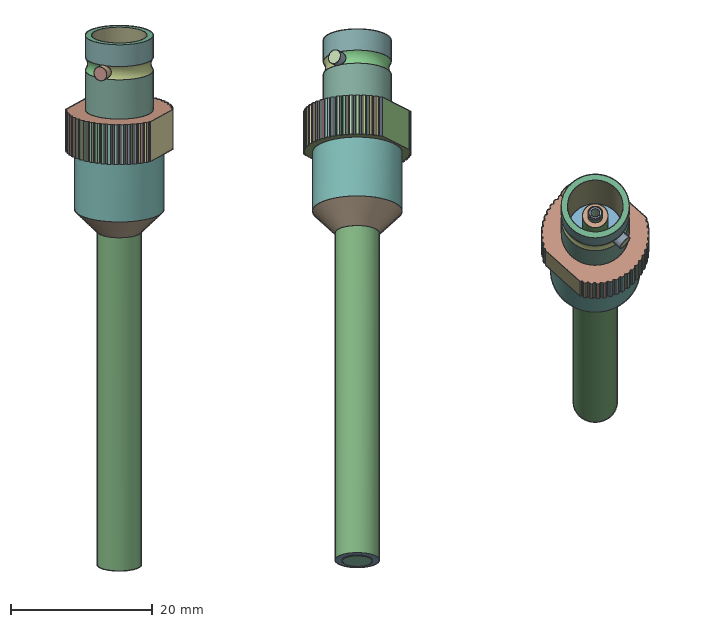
import cadquery as cq
import math

total_height = 78.15
core_protrusion = 0.15
cone_bottom = 49.25
cone_top = 52.5
ring_bottom = 61.35

core_diameter = 4.3
cable_diameter = 6.25
sleeve_diameter = 12.7
barrel_diameter = 9.6

lip_height = 3.2
groove_width = 1.95
groove_depth = 0.3
groove_top = total_height - lip_height
groove_middle = groove_top - groove_width / 2
groove_bottom = groove_top - groove_width

ring_height = 5.9
grip_across_flats = 13.45
grip_diameter = 15.25
tooth_count = 51
tooth_depth = 0.195
root_share = 0.2
flank_share = 0.2

lug_diameter = 2.0
lug_span = 11.6

socket_diameter = 7.8
socket_depth = 9.4
insulator_diameter = 3.6
insulator_height = 5.5
contact_diameter = 2.1
contact_tip_diameter = 1.8
contact_height = 6.65
contact_bore_diameter = 1.25
contact_bore_depth = 3.1
socket_floor = total_height - socket_depth
contact_top = socket_floor + contact_height


def cylinder(diameter, bottom, height):
    """Upright cylinder on the Z axis."""
    return cq.Workplane("XY").workplane(offset=bottom).circle(diameter / 2).extrude(height)


def turned_body():
    """Cable, cone, sleeve and grooved barrel as one revolved profile."""
    core_radius = core_diameter / 2
    cable_radius = cable_diameter / 2
    sleeve_radius = sleeve_diameter / 2
    barrel_radius = barrel_diameter / 2
    return (
        cq.Workplane("XZ")
        .moveTo(0, 0)
        .lineTo(core_radius, 0)
        .lineTo(core_radius, core_protrusion)
        .lineTo(cable_radius, core_protrusion)
        .lineTo(cable_radius, cone_bottom)
        .lineTo(sleeve_radius, cone_top)
        .lineTo(sleeve_radius, ring_bottom)
        .lineTo(barrel_radius, ring_bottom)
        .lineTo(barrel_radius, groove_bottom)
        .threePointArc((barrel_radius - groove_depth, groove_middle), (barrel_radius, groove_top))
        .lineTo(barrel_radius, total_height)
        .lineTo(0, total_height)
        .close()
        .revolve(360, (0, 0), (0, 1))
    )


def grip_ring():
    """Ring of straight trapezoidal teeth, cut by flats facing -X and +X."""
    tip_radius = grip_diameter / 2
    root_radius = tip_radius - tooth_depth
    tooth_corners = (
        (root_radius, 0),
        (root_radius, root_share),
        (tip_radius, root_share + flank_share),
        (tip_radius, 1 - flank_share),
    )
    outline = []
    for tooth in range(tooth_count):
        for radius, share in tooth_corners:
            angle = 2 * math.pi * (tooth + share) / tooth_count
            outline.append((radius * math.cos(angle), radius * math.sin(angle)))
    base = cq.Workplane("XY").workplane(offset=ring_bottom)
    toothed = base.polyline(outline).close().extrude(ring_height)
    between_flats = base.rect(grip_across_flats, 2 * grip_diameter).extrude(ring_height)
    return toothed.intersect(between_flats)


def bayonet_lugs():
    """One pin along Y through the barrel; its ends stand proud as the two lugs."""
    return (
        cq.Workplane("XZ")
        .center(0, groove_middle)
        .circle(lug_diameter / 2)
        .extrude(lug_span / 2, both=True)
    )


def centre_contact():
    """Contact pin with a chamfered tip."""
    tip_chamfer = (contact_diameter - contact_tip_diameter) / 2
    return cylinder(contact_diameter, socket_floor, contact_height).faces(">Z").chamfer(tip_chamfer)


outer_body = turned_body().union(grip_ring()).union(bayonet_lugs())
socket = cylinder(socket_diameter, socket_floor, socket_depth)
insulator = cylinder(insulator_diameter, socket_floor, insulator_height)
contact_bore = cylinder(contact_bore_diameter, contact_top - contact_bore_depth, contact_bore_depth)

result = outer_body.cut(socket).union(insulator).union(centre_contact()).cut(contact_bore)